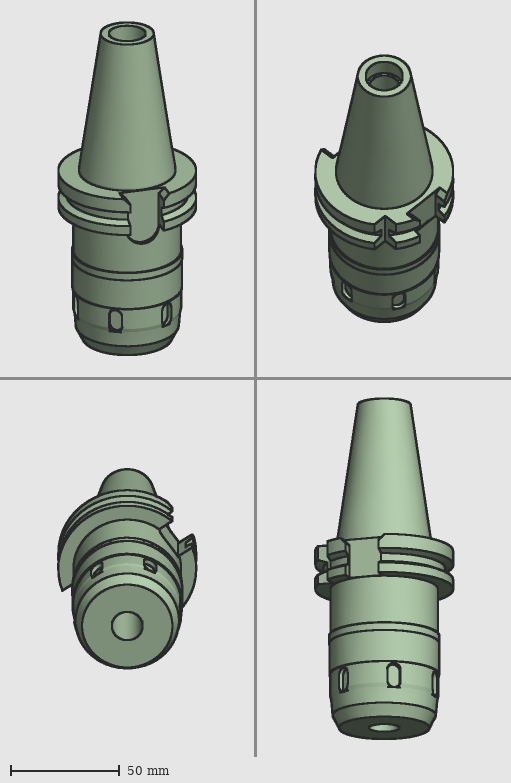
import cadquery as cq


gauge_diameter = 44.45
taper_length = 68.4
taper_ratio = 7 / 24
taper_end_diameter = gauge_diameter - taper_length * taper_ratio

flange_diameter = 63.55
flange_top = -1.0
flange_bottom = -19.1
groove_middle = -11.1
groove_floor_diameter = 56.25
groove_floor_width = 3.75
groove_mouth_width = 7.0

drive_slot_width = 16.1
drive_slot_chamfer = 2.8
shallow_slot_reach = 25.0
deep_slot_reach = 22.8
notch_distance = 18.7

body_diameter = 49.7
nut_top = -41.3
nut_ring_bottom = -45.0
nut_ring_diameter = 50.8
nut_sleeve_diameter = 50.65
nut_step = -59.7
nut_slot_band_diameter = 49.8
nut_slot_band_bottom = -70.0
nut_shoulder_diameter = 48.9
nut_shoulder = -71.8
nut_nose_diameter = 47.6
nut_nose_top = -79.1
nose_end_diameter = 41.6
nose_end = -85.0

spanner_slot_count = 6
spanner_slot_width = 6.2
spanner_slot_height = 11.2
spanner_slot_middle = -66.2
spanner_slot_floor_radius = 22.3

bore_diameter = 14.2
counterbore_diameter = 17.0
counterbore_depth = 8.2


def revolve_profile(stations):
    """Revolve a closed profile of (diameter, height) stations around Z."""
    points = [(diameter / 2, height) for diameter, height in stations]
    return cq.Workplane("XZ").polyline(points).close().revolve(360, (0, 0, 0), (0, 1, 0))


def make_shank():
    floor_half = groove_floor_width / 2
    mouth_half = groove_mouth_width / 2
    return revolve_profile([
        (0, taper_length),
        (taper_end_diameter, taper_length),
        (gauge_diameter, 0),
        (gauge_diameter, flange_top),
        (flange_diameter, flange_top),
        (flange_diameter, groove_middle + mouth_half),
        (groove_floor_diameter, groove_middle + floor_half),
        (groove_floor_diameter, groove_middle - floor_half),
        (flange_diameter, groove_middle - mouth_half),
        (flange_diameter, flange_bottom),
        (body_diameter, flange_bottom),
        (body_diameter, nut_top),
        (0, nut_top),
    ])


def make_nut():
    return revolve_profile([
        (0, nut_top),
        (nut_ring_diameter, nut_top),
        (nut_ring_diameter, nut_ring_bottom),
        (nut_sleeve_diameter, nut_ring_bottom),
        (nut_sleeve_diameter, nut_step),
        (nut_slot_band_diameter, nut_step),
        (nut_slot_band_diameter, nut_slot_band_bottom),
        (nut_shoulder_diameter, nut_shoulder),
        (nut_nose_diameter, nut_nose_top),
        (nose_end_diameter, nose_end),
        (0, nose_end),
    ])


def drive_slot(reach):
    """Slot through the flange on the +X side, open outward, with chamfered upper edges."""
    half_width = drive_slot_width / 2
    return (
        cq.Workplane("YZ", origin=(reach, 0, 0))
        .moveTo(-half_width, flange_bottom)
        .lineTo(half_width, flange_bottom)
        .lineTo(half_width, flange_top - drive_slot_chamfer)
        .lineTo(half_width + drive_slot_chamfer, flange_top)
        .lineTo(-half_width - drive_slot_chamfer, flange_top)
        .lineTo(-half_width, flange_top - drive_slot_chamfer)
        .close()
        .extrude(flange_diameter / 2)
    )


def make_shallow_slot():
    """Drive slot on the -X side, which clears the body."""
    return drive_slot(shallow_slot_reach).rotate((0, 0, 0), (0, 0, 1), 180)


def make_deep_slot():
    """Drive slot on the +X side, which ends below the flange in a half-round cut into the body."""
    round_end = (
        cq.Workplane("YZ", origin=(deep_slot_reach, 0, flange_bottom))
        .circle(drive_slot_width / 2)
        .extrude(flange_diameter / 2)
    )
    below_flange = (
        cq.Workplane("XY", origin=(0, 0, flange_bottom))
        .rect(2 * flange_diameter, 2 * flange_diameter)
        .extrude(-drive_slot_width)
    )
    return drive_slot(deep_slot_reach).union(round_end.intersect(below_flange))


def make_rim_notch():
    """Square notch through the flange in the -X, +Y quarter."""
    return (
        cq.Workplane("XY", origin=(0, 0, flange_bottom))
        .moveTo(-notch_distance, notch_distance)
        .rect(-flange_diameter, flange_diameter, centered=False)
        .extrude(flange_top - flange_bottom)
    )


def make_spanner_slots():
    """Flat-floored round-ended slots, one of them facing -Y."""
    single = (
        cq.Workplane("XZ", origin=(0, -spanner_slot_floor_radius, spanner_slot_middle))
        .slot2D(spanner_slot_height, spanner_slot_width, 90)
        .extrude(nut_ring_diameter / 2)
    )
    pitch = 360 / spanner_slot_count
    slots = single
    for index in range(1, spanner_slot_count):
        slots = slots.union(single.rotate((0, 0, 0), (0, 0, 1), index * pitch))
    return slots


def make_bore():
    bore = (
        cq.Workplane("XY", origin=(0, 0, nose_end))
        .circle(bore_diameter / 2)
        .extrude(taper_length - nose_end)
    )
    counterbore = (
        cq.Workplane("XY", origin=(0, 0, taper_length))
        .circle(counterbore_diameter / 2)
        .extrude(-counterbore_depth)
    )
    return bore.union(counterbore)


result = make_shank().union(make_nut())
result = result.cut(make_shallow_slot()).cut(make_deep_slot()).cut(make_rim_notch())
result = result.cut(make_spanner_slots()).cut(make_bore())